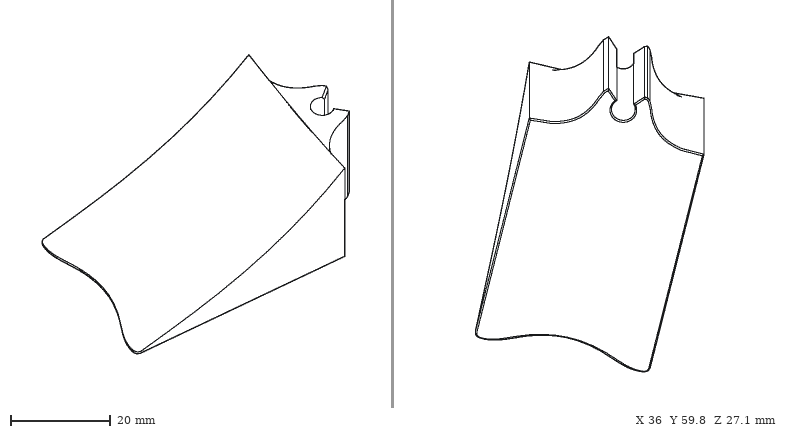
import cadquery as cq

width = 36.0
half_width = width / 2
side_height = 27.05
mid_height = 25.15
rear_bow = 0.55
lip_height = 0.9
base_chamfer = 0.3

crease_mid_y = -21.85
crease_mid_z = 9.8
crease_side_y = -48.4
crease_roundness = 1.35

rear_slope = 0.99
crease_slope = 0.31

front_mid_y = -45.75
front_quarter = (8.95, -47.7)
front_lobe = (16.0, -49.8)
front_corner = (17.6, -49.35)

clip_height = 24.9
bore_y = 6.05
bore_radius = 2.4
mouth_x = 1.75
tip_x = 3.95
tip_y = 10.0
blunt_tip_x = 3.5
blunt_tip_y = 9.7
blunt_tip_width = 0.65
shoulder = (4.8, 9.1)
flank_start = (5.5, 7.5)
flank_points = [(6.5, 5.1), (8.8, 2.3), (12.2, 0.55)]
flank_end = (14.65, 0.0)
clip_root_y = 0.3
mouth_chamfer = 0.5

ramp_columns = 24
ramp_rows = 20
fit_tolerance = 0.01


def crease_blend(u):
    """Go from 0 in the middle (u = 0) to 1 at the sides (u = +-1)."""
    return crease_roundness * u**2 + (1 - crease_roundness) * u**4


def ramp_point(u, t):
    """Point on the ramp: u runs across it, t runs from the rear crest to the crease."""
    rear_y = rear_bow * (1 - u**2)
    rear_z = mid_height + (side_height - mid_height) * u**2
    blend = crease_blend(u)
    crease_y = crease_mid_y + (crease_side_y - crease_mid_y) * blend
    crease_z = crease_mid_z + (lip_height - crease_mid_z) * blend
    length = rear_y - crease_y
    z = (
        rear_z * (2 * t**3 - 3 * t**2 + 1)
        + crease_z * (3 * t**2 - 2 * t**3)
        - rear_slope * length * (t**3 - 2 * t**2 + t)
        - crease_slope * length * (t**3 - t**2)
    )
    return cq.Vector(half_width * u, rear_y - length * t, z)


def mirrored_spline(half_points, z, start_side):
    """Spline mirrored about X = 0; half_points lead from the middle outwards, start_side is +1 or -1."""
    first = [cq.Vector(start_side * x, y, z) for x, y in reversed(half_points[1:])]
    second = [cq.Vector(-start_side * x, y, z) for x, y in half_points]
    return cq.Edge.makeSpline(first + second)


def make_wedge():
    ramp = cq.Face.makeSplineApprox(
        [
            [ramp_point(2 * i / ramp_columns - 1, j / ramp_rows) for j in range(ramp_rows + 1)]
            for i in range(ramp_columns + 1)
        ],
        tol=fit_tolerance,
    )
    edges = ramp.Edges()
    rear_top = max(edges, key=lambda edge: edge.Center().y)
    left_top = min(edges, key=lambda edge: edge.Center().x)
    right_top = max(edges, key=lambda edge: edge.Center().x)
    crease = min(
        [edge for edge in edges if abs(edge.Center().x) < half_width / 2],
        key=lambda edge: edge.Center().y,
    )

    front_points = [
        (0, front_mid_y), front_quarter, front_lobe, front_corner, (half_width, crease_side_y),
    ]
    front_top = mirrored_spline(front_points, lip_height, 1)
    front_base = mirrored_spline(front_points, 0, 1)
    rear_points = [(half_width * u, rear_bow * (1 - u**2)) for u in (0, 0.5, 1)]
    rear_base = mirrored_spline(rear_points, 0, -1)

    faces = [
        ramp,
        cq.Face.makeRuledSurface(crease, front_top),
        cq.Face.makeRuledSurface(front_top, front_base),
        cq.Face.makeRuledSurface(rear_top, rear_base),
    ]
    side_bases = []
    for x, top in ((-half_width, left_top), (half_width, right_top)):
        corners = [cq.Vector(x, 0, side_height), cq.Vector(x, 0, 0)]
        corners += [cq.Vector(x, crease_side_y, 0), cq.Vector(x, crease_side_y, lip_height)]
        lines = [cq.Edge.makeLine(start, end) for start, end in zip(corners, corners[1:])]
        side_bases.append(lines[1])
        faces.append(cq.Face.makeFromWires(cq.Wire.assembleEdges([top] + lines)))
    base_wire = cq.Wire.assembleEdges([rear_base, side_bases[1], front_base, side_bases[0]])
    faces.append(cq.Face.makeFromWires(base_wire))
    return cq.Workplane(cq.Solid.makeSolid(cq.Shell.makeShell(faces)).fix())


def make_clip():
    mouth_y = bore_y + (bore_radius**2 - mouth_x**2) ** 0.5
    left_flank = [(-x, y) for x, y in reversed(flank_points)]
    clip = (
        cq.Workplane("XY")
        .moveTo(-flank_end[0], flank_end[1])
        .spline(left_flank + [(-flank_start[0], flank_start[1])], includeCurrent=True)
        .lineTo(-shoulder[0], shoulder[1])
        .lineTo(-blunt_tip_x - blunt_tip_width, blunt_tip_y)
        .lineTo(-blunt_tip_x, blunt_tip_y)
        .lineTo(-mouth_x, mouth_y)
        .threePointArc((0, bore_y - bore_radius), (mouth_x, mouth_y))
        .lineTo(tip_x, tip_y)
        .lineTo(*shoulder)
        .lineTo(*flank_start)
        .spline(flank_points + [flank_end], includeCurrent=True)
        .threePointArc((0, clip_root_y), (-flank_end[0], flank_end[1]))
        .close()
        .extrude(clip_height)
    )
    mouth_edge = cq.selectors.NearestToPointSelector(
        ((-blunt_tip_x - mouth_x) / 2, (blunt_tip_y + mouth_y) / 2, clip_height)
    )
    return clip.faces(">Z").edges(mouth_edge).chamfer(mouth_chamfer)


result = make_wedge().union(make_clip()).faces("<Z").chamfer(base_chamfer)